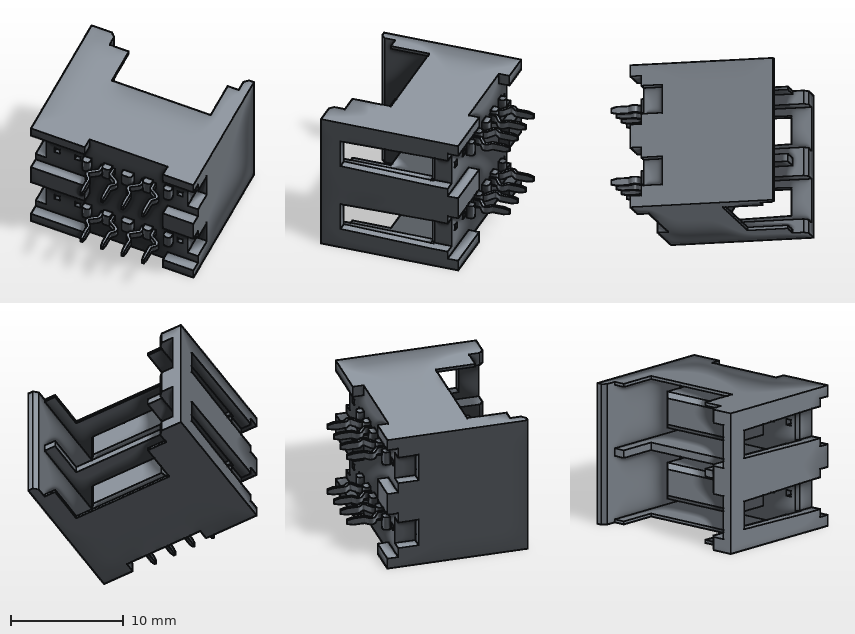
import cadquery as cq


width = 15.8
depth = 13.0
height = 12.9
row_offset = 3.25
row_heights = (-row_offset, row_offset)

rib_depth = 1.0
left_rib_end = 5.25
right_rib_start = 12.83
outer_rib_thickness = 1.01
middle_rib_thickness = 2.09

key_wall = 2.37
side_wall = 0.87
arm_end_y = 11.63
mouth_floor_y = 7.98
mouth_left = 4.25
mouth_right = 13.85
arm_chamfer = 0.38

web_back = 2.9
cavity_height = 5.81
key_height = 3.95

window_end = 11.15
window_taper_y = 2.62
window_height = 2.9
window_end_height = 2.56
slot_depth = 1.01
web_chamfer = web_back - window_taper_y

pitch = 1.99
contact_count = 4
field_center = 9.05
tongue_width = contact_count * pitch
tongue_height = 3.32
tongue_end = 7.17
tongue_chamfer = 0.46
empty_positions = (-3.5, -2.5, 2.5)
empty_holes = [field_center + position * pitch for position in empty_positions]
hole_size = 0.54

boss_length = 0.62
boss_height = 1.25
boss_round = 0.3
boss_pitch = 1.98
boss_widths = (0.76, 0.84, 1.05, 0.84, 0.76)
first_boss_x = field_center - boss_pitch * (len(boss_widths) - 1) / 2

tail_thickness = 0.28
tail_height = 0.63
tail_tip_y = -2.59
tail_tip_start = -2.05
tail_tip_thickness = 0.19
tail_tip_height = 0.38
tail_root_y = 1.58
stem_offset = 0.54
bulge_offset = 1.55
bulge_y = -0.4
stem_end_y = 0.28
leg_start_y = -0.95
bend_radius = 0.28


def box(x0, x1, y0, y1, z0, z1):
    """Block between opposite corners."""
    return cq.Workplane("XY").box(x1 - x0, y1 - y0, z1 - z0, centered=False).translate((x0, y0, z0))


def row_box(x0, x1, y0, y1, row_z, tall):
    """Block centred on the height of a contact row."""
    return box(x0, x1, y0, y1, row_z - tall / 2, row_z + tall / 2)


def make_shell():
    """Outer block with the stepped mouth and the stand-off ribs."""
    right_arm = width - side_wall
    outline = [
        (0, rib_depth),
        (width, rib_depth),
        (width, depth),
        (right_arm + arm_chamfer, depth),
        (right_arm, depth - arm_chamfer),
        (right_arm, arm_end_y),
        (mouth_right, arm_end_y),
        (mouth_right, mouth_floor_y),
        (mouth_left, mouth_floor_y),
        (mouth_left, arm_end_y),
        (key_wall, arm_end_y),
        (key_wall, depth - arm_chamfer),
        (key_wall - arm_chamfer, depth),
        (0, depth),
    ]
    shell = cq.Workplane("XY").polyline(outline).close().extrude(height / 2, both=True)
    rib_levels = (
        (-height / 2, outer_rib_thickness - height / 2),
        (-middle_rib_thickness / 2, middle_rib_thickness / 2),
        (height / 2 - outer_rib_thickness, height / 2),
    )
    for bottom, top in rib_levels:
        for start, end in ((0, left_rib_end), (right_rib_start, width)):
            shell = shell.union(box(start, end, 0, rib_depth, bottom, top))
    return shell


def cut_cavity(body, row_z):
    """Main cavity, the shallower strip beside the left wall, and the web's chamfered left edge."""
    body = body.cut(row_box(key_wall, width - side_wall, web_back, depth, row_z, cavity_height))
    body = body.cut(row_box(side_wall, key_wall, web_back, depth, row_z, key_height))
    chamfer_wedge = (
        cq.Workplane("XY", origin=(0, 0, row_z))
        .polyline([
            (slot_depth, window_taper_y),
            (slot_depth + web_chamfer, web_back),
            (slot_depth, web_back),
        ])
        .close()
        .extrude(window_height / 2, both=True)
    )
    return body.cut(chamfer_wedge)


def cut_side_openings(body, row_z):
    """Tapered window through the left wall, and a slot at each end of the web."""
    half = window_height / 2
    end_half = window_end_height / 2
    window = (
        cq.Workplane("YZ")
        .polyline([
            (window_taper_y, row_z - half),
            (window_end, row_z - end_half),
            (window_end, row_z + end_half),
            (window_taper_y, row_z + half),
        ])
        .close()
        .extrude(side_wall)
    )
    left_slot = row_box(0, slot_depth, rib_depth, window_taper_y, row_z, window_height)
    left_passage = row_box(side_wall, slot_depth, window_taper_y, web_back, row_z, window_height)
    right_slot = row_box(width - slot_depth, width, rib_depth, web_back, row_z, window_end_height)
    return body.cut(window).cut(left_slot).cut(left_passage).cut(right_slot)


def cut_empty_holes(body, row_z):
    """Square contact holes left empty beside the contact field."""
    for x in empty_holes:
        body = body.cut(row_box(x - hole_size / 2, x + hole_size / 2, rib_depth, web_back, row_z, hole_size))
    return body


def make_tongue(row_z):
    """Contact carrier inside the cavity, chamfered around its free end."""
    left = field_center - tongue_width / 2
    tongue = row_box(left, left + tongue_width, web_back, tongue_end, row_z, tongue_height)
    return tongue.faces(">Y").edges().chamfer(tongue_chamfer)


def make_boss(x, row_z, boss_width):
    """Boss on the mounting face with two rounded edges."""
    boss = row_box(
        x - boss_width / 2, x + boss_width / 2, rib_depth - boss_length, rib_depth, row_z, boss_height
    )
    return boss.faces("<Y").edges("|Z").fillet(boss_round)


def make_tail(pair_x, side, row_z):
    """Formed solder tail; side is -1 or +1 and tells which way it bulges."""
    tip_offset = pitch / 2
    spine = [
        (stem_offset, tail_root_y),
        (stem_offset, stem_end_y),
        (bulge_offset, bulge_y),
        (tip_offset, leg_start_y),
        (tip_offset, tail_tip_start),
    ]
    corners = [cq.Vector(pair_x + side * x, y, row_z) for x, y in spine]
    path = cq.Wire.makePolygon(corners)
    bends = [v for v in path.Vertices() if tail_tip_start < v.Y < tail_root_y]
    path = path.fillet(bend_radius, bends)
    tail = (
        cq.Workplane("XZ", origin=corners[0].toTuple())
        .rect(tail_thickness, tail_height)
        .sweep(cq.Workplane(obj=path))
    )
    tip = (
        cq.Workplane("XZ", origin=corners[-1].toTuple())
        .rect(tail_thickness, tail_height)
        .workplane(offset=tail_tip_start - tail_tip_y)
        .rect(tail_tip_thickness, tail_tip_height)
        .loft()
    )
    return tail.union(tip)


result = make_shell()
for row_z in row_heights:
    result = cut_cavity(result, row_z)
    result = cut_side_openings(result, row_z)
    result = cut_empty_holes(result, row_z)
    result = result.union(make_tongue(row_z))
    for index, boss_width in enumerate(boss_widths):
        boss_x = first_boss_x + index * boss_pitch
        result = result.union(make_boss(boss_x, row_z, boss_width))
    for pair_x in (field_center - pitch, field_center + pitch):
        for side in (-1, 1):
            result = result.union(make_tail(pair_x, side, row_z))